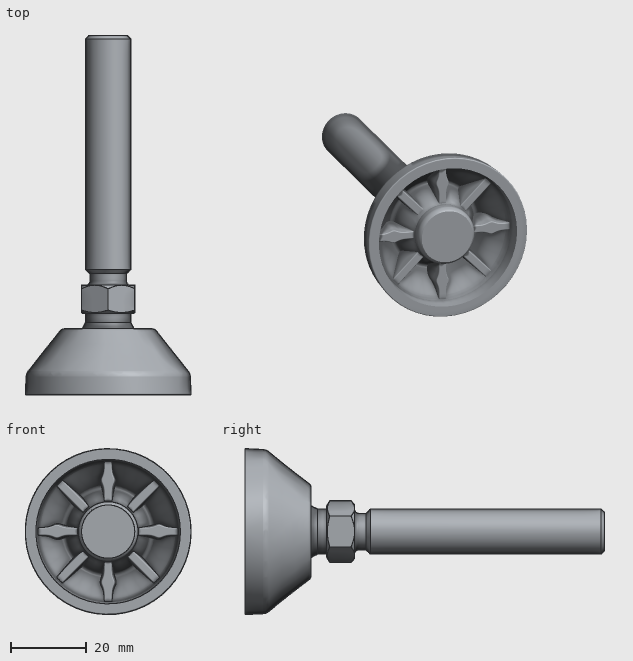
import cadquery as cq
import math


base_radius = 22.0
base_height = 17.5
skirt_height = 5.6
skirt_top_radius = 21.7
crown_radius = 12.3
floor_edge_fillet = 0.3
shoulder_fillet = 2.6
crown_fillet = 1.5

mouth_radius = 19.1
wall_top_radius = 18.6
wall_top_height = 5.1
valley_radius = 11.5
valley_height = 13.9
wall_fillet = 3.8
valley_fillet = 0.8
boss_radius = 7.9
boss_recess = 0.7
boss_face_radius = 7.0
boss_rounding_height = 1.6
boss_cylinder_top = 4.3

rib_draft = 3.5
cross_rib_height = 4.8
cross_rib_width = 2.0
cross_rib_edge_fillet = 0.3
diagonal_rib_height = 5.4
diagonal_rib_width = 2.2
diagonal_rib_edge_fillet = 0.3
pad_radius = 1.7
pad_distance = 13.5
pad_blend_radius = 6.0

stud_top = 95.2
stud_radius = 6.0
stud_tip_chamfer = 0.95
flare_radius = 6.9
flare_top = 19.2
hex_bottom = 21.6
hex_top = 29.0
hex_flats = 14.2
hex_bottom_face_radius = 6.8
hex_bottom_chamfer = 0.9
hex_top_chamfer = 0.95
neck_radius = 4.9
neck_fillet = 1.0
neck_top = 32.1
thread_start = 33.2


def turned(outline):
    """Revolve a closed (radius, height) outline about the Y axis."""
    return outline.close().revolve(360, (0, 0, 0), (0, 1, 0))


def circles_at(solid, radius, height):
    """Circular edges of a turned solid at one radius and height."""
    reach = 0.01
    return solid.edges(
        cq.selectors.BoxSelector(
            (-radius - reach, height - reach, -radius - reach),
            (radius + reach, height + reach, radius + reach),
            boundingbox=True,
        )
    )


def base_outside():
    body = turned(
        cq.Workplane("XY")
        .lineTo(base_radius, 0)
        .lineTo(skirt_top_radius, skirt_height)
        .lineTo(crown_radius, base_height)
        .lineTo(0, base_height)
    )
    body = circles_at(body, crown_radius, base_height).fillet(crown_fillet)
    body = circles_at(body, skirt_top_radius, skirt_height).fillet(shoulder_fillet)
    return circles_at(body, base_radius, 0).fillet(floor_edge_fillet)


def base_cavity():
    """The open space under the base, around the central boss."""
    rounding_width = boss_radius - boss_face_radius
    rounding_radius = (rounding_width**2 + boss_rounding_height**2) / (2 * rounding_width)
    space = turned(
        cq.Workplane("XY")
        .lineTo(mouth_radius, 0)
        .lineTo(wall_top_radius, wall_top_height)
        .lineTo(valley_radius, valley_height)
        .lineTo(boss_radius, boss_cylinder_top)
        .lineTo(boss_radius, boss_recess + boss_rounding_height)
        .radiusArc((boss_face_radius, boss_recess), rounding_radius)
        .lineTo(0, boss_recess)
    )
    space = circles_at(space, valley_radius, valley_height).fillet(valley_fillet)
    return circles_at(space, wall_top_radius, wall_top_height).fillet(wall_fillet)


def drafted_rib(outline, height, edge_fillet):
    """Extrude a rib outline upward from its lower face, widening by the draft angle."""
    rib = outline.extrude(height - base_height, taper=-rib_draft)
    return rib.faces("<Y").edges().fillet(edge_fillet)


def diagonal_rib():
    """A plain rib from the axis out along +X."""
    outline = (
        cq.Workplane("XZ", origin=(0, diagonal_rib_height, 0))
        .center(base_radius / 2, 0)
        .rect(base_radius, diagonal_rib_width)
    )
    return drafted_rib(outline, diagonal_rib_height, diagonal_rib_edge_fillet)


def cross_rib():
    """A rib from the axis out along +X, with a round pad blended into both sides."""
    half_width = cross_rib_width / 2
    centre_distance = pad_radius + pad_blend_radius
    blend_reach = math.sqrt(centre_distance**2 - (half_width + pad_blend_radius) ** 2)
    pad_share = pad_radius / centre_distance
    touch_reach = blend_reach * pad_share
    touch_offset = (half_width + pad_blend_radius) * pad_share
    outline = (
        cq.Workplane("XZ", origin=(0, cross_rib_height, 0))
        .moveTo(0, -half_width)
        .lineTo(pad_distance - blend_reach, -half_width)
        .radiusArc((pad_distance - touch_reach, -touch_offset), pad_blend_radius)
        .threePointArc((pad_distance, -pad_radius), (pad_distance + touch_reach, -touch_offset))
        .radiusArc((pad_distance + blend_reach, -half_width), pad_blend_radius)
        .lineTo(base_radius, -half_width)
        .lineTo(base_radius, half_width)
        .lineTo(pad_distance + blend_reach, half_width)
        .radiusArc((pad_distance + touch_reach, touch_offset), pad_blend_radius)
        .threePointArc((pad_distance, pad_radius), (pad_distance - touch_reach, touch_offset))
        .radiusArc((pad_distance - blend_reach, half_width), pad_blend_radius)
        .lineTo(0, half_width)
        .close()
    )
    return drafted_rib(outline, cross_rib_height, cross_rib_edge_fillet)


def make_base():
    space = base_cavity()
    for angle in (0, 90, 180, 270):
        space = space.cut(cross_rib().rotate((0, 0, 0), (0, 1, 0), angle))
        space = space.cut(diagonal_rib().rotate((0, 0, 0), (0, 1, 0), angle + 45))
    return base_outside().cut(space)


def hexagon():
    """The wrench hexagon, flats facing +X and -X, with turned chamfers on its corners."""
    corner_radius = hex_flats / math.sqrt(3)
    prism = (
        cq.Workplane("XZ", origin=(0, hex_bottom, 0))
        .polygon(6, 2 * corner_radius)
        .extrude(hex_bottom - hex_top)
        .rotate((0, 0, 0), (0, 1, 0), 30)
    )
    chamfer_envelope = turned(
        cq.Workplane("XY")
        .moveTo(0, hex_bottom)
        .lineTo(hex_bottom_face_radius, hex_bottom)
        .lineTo(corner_radius, hex_bottom + hex_bottom_chamfer)
        .lineTo(corner_radius, hex_top - hex_top_chamfer)
        .lineTo(hex_flats / 2, hex_top)
        .lineTo(0, hex_top)
    )
    return prism.intersect(chamfer_envelope)


def make_stud():
    """The stud stands on the base's top face."""
    shank = turned(
        cq.Workplane("XY")
        .moveTo(0, base_height)
        .lineTo(flare_radius, base_height)
        .lineTo(stud_radius, flare_top)
        .lineTo(stud_radius, hex_top)
        .lineTo(neck_radius + neck_fillet, hex_top)
        .radiusArc((neck_radius, hex_top + neck_fillet), neck_fillet)
        .lineTo(neck_radius, neck_top)
        .lineTo(stud_radius, thread_start)
        .lineTo(stud_radius, stud_top - stud_tip_chamfer)
        .lineTo(stud_radius - stud_tip_chamfer, stud_top)
        .lineTo(0, stud_top)
    )
    return shank.union(hexagon())


base = make_base()
stud = make_stud()

result = cq.Compound.makeCompound([base.val(), stud.val()])